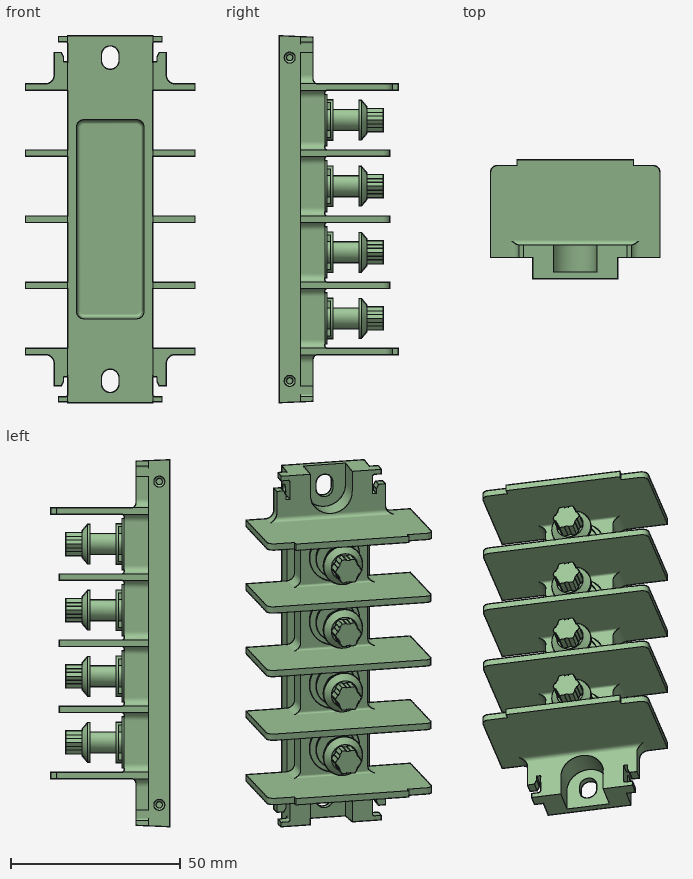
import cadquery as cq
import math

LENGTH = 108.2
BASE_WIDTH = 25.1
BASE_DEPTH = 6.3
HALF_LENGTH = LENGTH / 2
HALF_BASE = BASE_WIDTH / 2

BAY_COUNT = 4
PITCH = 19.5
BARRIER_WIDTH = 50.0
HALF_BARRIER = BARRIER_WIDTH / 2
BARRIER_THICKNESS = 2.0
BARRIER_BACK = 32.7
END_BARRIER_SHOULDER = 33.4
BARRIER_CORNER = 2.1
END_TAB_WIDTH = 34.4
END_TAB_BACK = 35.2
BAY_HEIGHT = PITCH - BARRIER_THICKNESS

BLOCK_RECESS = 2.4
BLOCK_WIDTH = BASE_WIDTH - 2 * BLOCK_RECESS
BLOCK_BACK = 13.5
BLOCK_BACK_FILLET = 0.6

WASHER_DIAMETER = 15.1
WASHER_THICKNESS = 0.6
CLAMP_DIAMETER = 12.0
CLAMP_DISC_THICKNESS = 0.8
CLAMP_LIP_HEIGHT = 1.0
CLAMP_LIP_WIDTH = 6.3
SHANK_DIAMETER = 6.3
FLANGE_START = 23.5
FLANGE_RIM = 0.8
FLANGE_DIAMETER = 11.8
FLANGE_TAPER = 1.6
HEAD_SIDES = 6
HEAD_FLATS = 6.9
HEAD_CORNERS = HEAD_FLATS / math.cos(math.pi / HEAD_SIDES)
HEAD_END = 30.7
HEAD_GROOVE_WIDTH = 1.2
HEAD_GROOVE_DEPTH = 0.16

END_BACK = 10.1
END_DRAFT_DROP = 0.4
END_START = BAY_COUNT / 2 * PITCH + BARRIER_THICKNESS / 2
LATCH_WIDTH = 33.1
LATCH_FILLET = 2.5
LATCH_BACK_FILLET = 1.3
LATCH_SHELF = 46.4
LATCH_TIP = 49.1
LATCH_SLOT_EDGE = 13.7
LATCH_TIP_CHAMFER = 0.6
EAR_WIDTH = 30.5
EAR_THICKNESS = 1.8
EAR_FILLET = 0.6

MOUNT_Z = HALF_LENGTH - 6.5
MOUNT_SLOT_WIDTH = 5.1
MOUNT_SLOT_HEIGHT = 6.8
CHANNEL_WIDTH = 12.8
CHANNEL_FLOOR = 2.1
SIDE_HOLE_Y = 3.1
SIDE_HOLE_DIAMETER = 3.2
SIDE_HOLE_BORE_DIAMETER = 1.8
SIDE_HOLE_CONE_DEPTH = 0.6
SIDE_HOLE_DEPTH = 1.7

POCKET_WIDTH = 19.9
POCKET_HEIGHT = 58.6
POCKET_DEPTH = 3.8
POCKET_CORNER = 2.2
POCKET_WALL_DRAFT = 9.0
POCKET_FLOOR_FILLET = 0.9


def box(width, y_start, y_end, z_start, z_end):
    """Box centred on X between two Y and two Z limits."""
    return (cq.Workplane("XY").box(width, y_end - y_start, z_end - z_start, centered=(True, False, False))
            .translate((0, y_start, z_start)))


def across_y(y):
    """XZ sketch plane at the given Y; positive extrusions run toward +Y."""
    return cq.Workplane(cq.Plane(origin=(0, y, 0), xDir=(-1, 0, 0), normal=(0, 1, 0)))


def barrier(z, is_end):
    """Plate with rounded back corners; end plates carry a wide back tab."""
    bottom = z - BARRIER_THICKNESS / 2
    top = z + BARRIER_THICKNESS / 2
    back = END_BARRIER_SHOULDER if is_end else BARRIER_BACK
    plate = box(BARRIER_WIDTH, BASE_DEPTH, back, bottom, top)
    plate = plate.edges("|Z and >Y").fillet(BARRIER_CORNER)
    if is_end:
        plate = plate.union(box(END_TAB_WIDTH, BASE_DEPTH, END_TAB_BACK, bottom, top))
    return plate


def terminal_block(z):
    """Bay block whose sides and back flare into the barriers through fillets."""
    half_bay = BAY_HEIGHT / 2
    flare_back = BLOCK_BACK + BLOCK_BACK_FILLET
    block = box(BASE_WIDTH, BASE_DEPTH, flare_back, -half_bay, half_bay)
    side_recess = box(BARRIER_WIDTH, BASE_DEPTH, flare_back, -half_bay, half_bay)
    side_recess = side_recess.translate((BLOCK_WIDTH / 2 + HALF_BARRIER, 0, 0))
    side_recess = side_recess.edges("|Y and <X").fillet(BLOCK_RECESS)
    block = block.cut(side_recess).cut(side_recess.mirror("YZ"))
    back_recess = box(BARRIER_WIDTH, BLOCK_BACK, BARRIER_BACK, -half_bay, half_bay)
    block = block.cut(back_recess.edges("|X and <Y").fillet(BLOCK_BACK_FILLET))
    return block.translate((0, 0, z))


def stud(z):
    """Washer, clamp disc with two lips, shank, and flanged hex head with grooved flats."""
    washer_end = BLOCK_BACK + WASHER_THICKNESS
    disc_start = washer_end + CLAMP_LIP_HEIGHT
    rim_end = FLANGE_START + FLANGE_RIM
    head_start = rim_end + FLANGE_TAPER
    washer = across_y(BLOCK_BACK).circle(WASHER_DIAMETER / 2).extrude(WASHER_THICKNESS)

    disc = across_y(disc_start).circle(CLAMP_DIAMETER / 2).extrude(CLAMP_DISC_THICKNESS)
    lips = across_y(washer_end).circle(CLAMP_DIAMETER / 2).extrude(CLAMP_LIP_HEIGHT)
    lip_band = box(CLAMP_LIP_WIDTH, washer_end, disc_start, -CLAMP_DIAMETER / 2, CLAMP_DIAMETER / 2)
    lip_gap = box(CLAMP_LIP_WIDTH, washer_end, disc_start, -SHANK_DIAMETER / 2, SHANK_DIAMETER / 2)
    lips = lips.intersect(lip_band).cut(lip_gap)
    clamp = disc.union(lips)

    shank = across_y(washer_end).circle(SHANK_DIAMETER / 2).extrude(FLANGE_START - washer_end)
    flange = (cq.Workplane("XY")
              .moveTo(0, FLANGE_START)
              .lineTo(FLANGE_DIAMETER / 2, FLANGE_START)
              .lineTo(FLANGE_DIAMETER / 2, rim_end)
              .lineTo(HEAD_CORNERS / 2, head_start)
              .lineTo(0, head_start)
              .close()
              .revolve(360, (0, 0, 0), (0, 1, 0)))

    head = across_y(head_start).polygon(HEAD_SIDES, HEAD_CORNERS).extrude(HEAD_END - head_start)
    groove = box(HEAD_GROOVE_WIDTH, head_start, HEAD_END,
                 HEAD_FLATS / 2 - HEAD_GROOVE_DEPTH, HEAD_FLATS / 2)
    for flat in range(HEAD_SIDES):
        head = head.cut(groove.rotate((0, 0, 0), (0, 1, 0), flat * 360 / HEAD_SIDES))

    assembly = washer.union(clamp).union(shank).union(flange).union(head)
    return assembly.translate((0, 0, z))


def latch_block():
    """Side shoulders with upright hooks, flared into the end barrier."""
    half_width = LATCH_WIDTH / 2
    flare_half = half_width + LATCH_FILLET
    bend = LATCH_FILLET * (1 - math.sqrt(0.5))
    profile = (across_y(BASE_DEPTH)
               .moveTo(0, END_START)
               .lineTo(flare_half, END_START)
               .threePointArc((half_width + bend, END_START + bend), (half_width, END_START + LATCH_FILLET))
               .lineTo(half_width, LATCH_TIP)
               .lineTo(LATCH_SLOT_EDGE + LATCH_TIP_CHAMFER, LATCH_TIP)
               .lineTo(LATCH_SLOT_EDGE, LATCH_TIP - 2 * LATCH_TIP_CHAMFER)
               .lineTo(LATCH_SLOT_EDGE, LATCH_SHELF)
               .lineTo(0, LATCH_SHELF)
               .close()
               .extrude(END_BACK + LATCH_BACK_FILLET - BASE_DEPTH))
    back_recess = box(BARRIER_WIDTH, END_BACK, BARRIER_BACK, END_START, HALF_LENGTH)
    back_recess = back_recess.edges("|X and <Y and <Z").fillet(LATCH_BACK_FILLET)
    half = profile.cut(back_recess)
    return half.union(half.mirror("YZ"))


def end_section():
    """Raised upper end of the rail with latches and end ears."""
    section = box(BASE_WIDTH, BASE_DEPTH, END_BACK, END_START, HALF_LENGTH)
    ears_bottom = HALF_LENGTH - EAR_THICKNESS
    ears = box(EAR_WIDTH, BASE_DEPTH, END_BACK, ears_bottom, HALF_LENGTH)
    section = section.union(ears)
    underside = cq.selectors.BoxSelector(
        (-HALF_BASE - EAR_FILLET, BASE_DEPTH, ears_bottom - EAR_FILLET),
        (HALF_BASE + EAR_FILLET, END_BACK, ears_bottom + EAR_FILLET))
    return section.edges("|Y").edges(underside).fillet(EAR_FILLET).union(latch_block())


def end_draft():
    """Thin wedge that slopes the end face inward toward the back."""
    return (cq.Workplane("YZ", origin=(-HALF_BARRIER, 0, 0))
            .moveTo(0, HALF_LENGTH)
            .lineTo(END_BACK, HALF_LENGTH)
            .lineTo(END_BACK, HALF_LENGTH - END_DRAFT_DROP)
            .close()
            .extrude(BARRIER_WIDTH))


def end_cuts():
    """End draft, screw channel, mounting slot and side holes of the upper end."""
    channel_back = END_BACK + LATCH_BACK_FILLET
    channel = box(CHANNEL_WIDTH, CHANNEL_FLOOR, channel_back, MOUNT_Z, HALF_LENGTH)
    channel_round = (across_y(CHANNEL_FLOOR).center(0, MOUNT_Z)
                     .circle(CHANNEL_WIDTH / 2).extrude(channel_back - CHANNEL_FLOOR))
    slot = (across_y(0).center(0, MOUNT_Z)
            .slot2D(MOUNT_SLOT_HEIGHT, MOUNT_SLOT_WIDTH, 90).extrude(BASE_DEPTH))
    cuts = channel.union(channel_round).union(slot)
    for side in (1, -1):
        mouth = cq.Vector(side * HALF_BASE, SIDE_HOLE_Y, MOUNT_Z)
        inward = cq.Vector(-side, 0, 0)
        bore_radius = SIDE_HOLE_BORE_DIAMETER / 2
        cone = cq.Solid.makeCone(SIDE_HOLE_DIAMETER / 2, bore_radius, SIDE_HOLE_CONE_DEPTH, mouth, inward)
        bore = cq.Solid.makeCylinder(bore_radius, SIDE_HOLE_DEPTH, mouth, inward)
        cuts = cuts.union(cq.Workplane(cone)).union(cq.Workplane(bore))
    return cuts.union(end_draft())


def label_pocket():
    """Round-cornered pocket with drafted walls and a filleted floor edge."""
    mouth = cq.Sketch().rect(POCKET_WIDTH, POCKET_HEIGHT).vertices().fillet(POCKET_CORNER)
    pocket = across_y(0).placeSketch(mouth).extrude(POCKET_DEPTH, taper=POCKET_WALL_DRAFT)
    return pocket.faces(">Y").edges().fillet(POCKET_FLOOR_FILLET)


part = box(BASE_WIDTH, 0, BASE_DEPTH, -HALF_LENGTH, HALF_LENGTH)

upper_end = end_section()
part = part.union(upper_end).union(upper_end.mirror("XY"))

for index in range(BAY_COUNT + 1):
    barrier_z = (index - BAY_COUNT / 2) * PITCH
    part = part.union(barrier(barrier_z, index in (0, BAY_COUNT)))

for index in range(BAY_COUNT):
    bay_z = (index - (BAY_COUNT - 1) / 2) * PITCH
    part = part.union(terminal_block(bay_z)).union(stud(bay_z))

upper_cuts = end_cuts()
part = part.cut(upper_cuts).cut(upper_cuts.mirror("XY"))

result = part.cut(label_pocket())